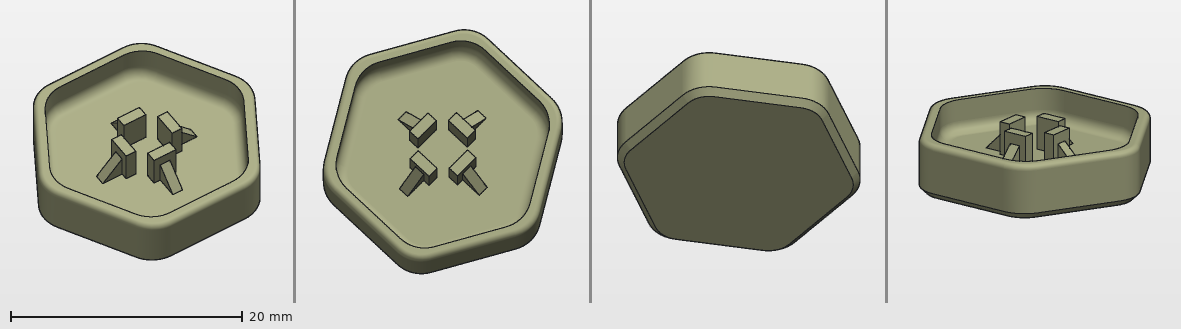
import cadquery as cq
import math

turn_angle = 1.2
hexagon_half_angle = math.radians(30)
height = 5.0
overall_length = 21.25
corner_radius = 3.0
wall = 1.0
floor_thickness = 2.0
rim_radius = 0.5
floor_fillet = 1.0
base_chamfer = 0.6

post_count = 4
post_gap = 3.75
post_thickness = 1.0
post_width = 2.27
post_height = height - floor_thickness
rib_thickness = 1.0
rib_length = 2.0
rib_height = 2.0

corner_centre_distance = (overall_length / 2 - corner_radius) / math.cos(math.radians(turn_angle))
half_flats = corner_centre_distance * math.cos(hexagon_half_angle) + corner_radius


def rounded_hexagon(apothem, depth):
    """Hexagonal prism from Z = 0, with corners on the Y axis and rounded upright edges."""
    corner_to_corner = 2 * apothem / math.cos(hexagon_half_angle)
    prism = cq.Workplane("XY").transformed(rotate=(0, 0, 90)).polygon(6, corner_to_corner).extrude(depth)
    return prism.edges("|Z").fillet(corner_radius)


def tray():
    outside = rounded_hexagon(half_flats, height)
    outside = outside.faces("<Z").chamfer(base_chamfer)
    outside = outside.faces(">Z").edges().fillet(rim_radius)
    cavity = rounded_hexagon(half_flats - wall, height - floor_thickness)
    cavity = cavity.faces("<Z").edges().fillet(floor_fillet)
    return outside.cut(cavity.translate((0, 0, floor_thickness)))


def braced_post():
    """Post on the +X side with a rib sloping down outward; both are rooted in the floor."""
    inner_face = post_gap / 2
    outer_face = inner_face + post_thickness
    root = floor_thickness / 2
    post = cq.Workplane("XY").box(
        post_thickness, post_width, post_height + root, centered=(False, True, False)
    ).translate((inner_face, 0, floor_thickness - root))
    rib = (
        cq.Workplane("XZ")
        .moveTo(inner_face, floor_thickness - root)
        .lineTo(outer_face + rib_length, floor_thickness - root)
        .lineTo(outer_face + rib_length, floor_thickness)
        .lineTo(outer_face, floor_thickness + rib_height)
        .lineTo(inner_face, floor_thickness + rib_height)
        .close()
        .extrude(rib_thickness / 2, both=True)
    )
    return post.union(rib)


result = tray()
for index in range(post_count):
    result = result.union(braced_post().rotate((0, 0, 0), (0, 0, 1), index * 360 / post_count))
result = result.rotate((0, 0, 0), (0, 0, 1), turn_angle)